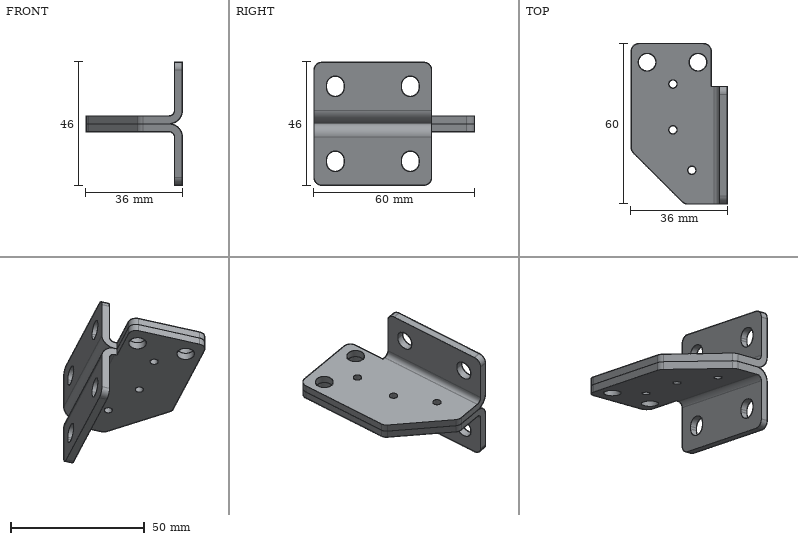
import cadquery as cq


sheet = 3.0
bend_inner_radius = 2.0
bend_outer_radius = bend_inner_radius + sheet

overall_width = 36.0
overall_length = 60.0
flange_length = 44.0
flange_height = 23.0
corner_radius = 3.0

web_tab_width = 30.0
web_cut_size = 20.0
bend_start_x = overall_width - bend_outer_radius

mounting_hole_diameter = 6.5
mounting_hole_centres = [(6.0, 53.0), (25.0, 53.0)]
pin_hole_diameter = 3.0
pin_hole_centres = [(15.65, 44.85), (15.65, 27.75), (22.7, 12.65)]
slot_width = 6.5
slot_height = 7.5
slot_centre_z = 14.0
slot_centres_y = (8.0, 36.0)


def make_web():
    """Flat plate on the mating plane, up to where the bend starts."""
    web = (
        cq.Workplane("XY")
        .moveTo(web_cut_size, 0)
        .lineTo(bend_start_x, 0)
        .lineTo(bend_start_x, flange_length)
        .lineTo(web_tab_width, flange_length)
        .lineTo(web_tab_width, overall_length)
        .lineTo(0, overall_length)
        .lineTo(0, web_cut_size)
        .close()
        .extrude(sheet)
    )
    rounded_corners = [
        (web_cut_size, 0),
        (0, web_cut_size),
        (0, overall_length),
        (web_tab_width, overall_length),
    ]
    for x, y in rounded_corners:
        corner_edge = cq.selectors.NearestToPointSelector((x, y, sheet / 2))
        web = web.edges("|Z").edges(corner_edge).fillet(corner_radius)
    return web


def make_flange():
    """Bend and upright flange, with the two free corners rounded."""
    flange = (
        cq.Workplane("XZ")
        .moveTo(bend_start_x, 0)
        .radiusArc((overall_width, bend_outer_radius), -bend_outer_radius)
        .lineTo(overall_width, flange_height)
        .lineTo(overall_width - sheet, flange_height)
        .lineTo(overall_width - sheet, bend_outer_radius)
        .radiusArc((bend_start_x, sheet), bend_inner_radius)
        .close()
        .extrude(-flange_length)
    )
    return flange.faces(">Z").edges("|X").fillet(corner_radius)


def make_web_holes():
    """Cutters for the round holes through the web."""
    mounting_holes = (
        cq.Workplane("XY")
        .pushPoints(mounting_hole_centres)
        .circle(mounting_hole_diameter / 2)
        .extrude(sheet)
    )
    pin_holes = (
        cq.Workplane("XY")
        .pushPoints(pin_hole_centres)
        .circle(pin_hole_diameter / 2)
        .extrude(sheet)
    )
    return mounting_holes.add(pin_holes).combine()


def make_flange_slots():
    """Cutters for the upright slots through the flange."""
    return (
        cq.Workplane("YZ", origin=(overall_width - sheet, 0, 0))
        .pushPoints([(y, slot_centre_z) for y in slot_centres_y])
        .slot2D(slot_height, slot_width, 90)
        .extrude(sheet)
    )


def make_bracket():
    """Upper bracket, resting on the mating plane."""
    blank = make_web().union(make_flange())
    return blank.cut(make_web_holes()).cut(make_flange_slots())


upper_bracket = make_bracket()
lower_bracket = make_bracket().mirror("XY")

result = cq.Compound.makeCompound([upper_bracket.val(), lower_bracket.val()])